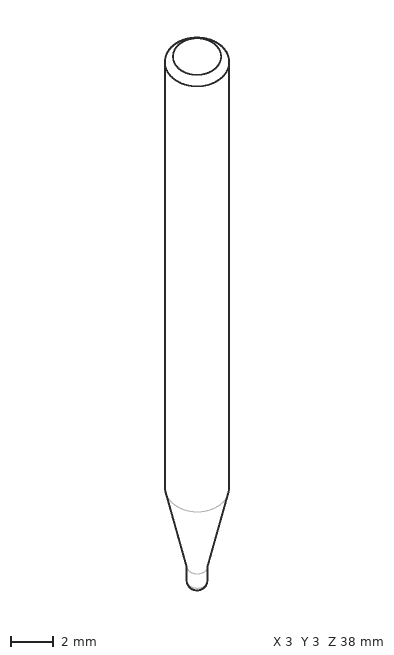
import cadquery as cq
import math

total_length = 38.0
shank_diameter = 3.0
top_chamfer = 0.38
shank_bottom = 7.15
taper_bottom = 1.52
neck_radius = 0.5

shank_radius = shank_diameter / 2
arc_offset = neck_radius * math.sqrt(0.5)

profile = (
    cq.Workplane("XZ")
    .threePointArc((arc_offset, neck_radius - arc_offset), (neck_radius, neck_radius))
    .lineTo(neck_radius, taper_bottom)
    .lineTo(shank_radius, shank_bottom)
    .lineTo(shank_radius, total_length - top_chamfer)
    .lineTo(shank_radius - top_chamfer, total_length)
    .lineTo(0, total_length)
    .close()
)

result = profile.revolve(360, (0, 0, 0), (0, 1, 0))